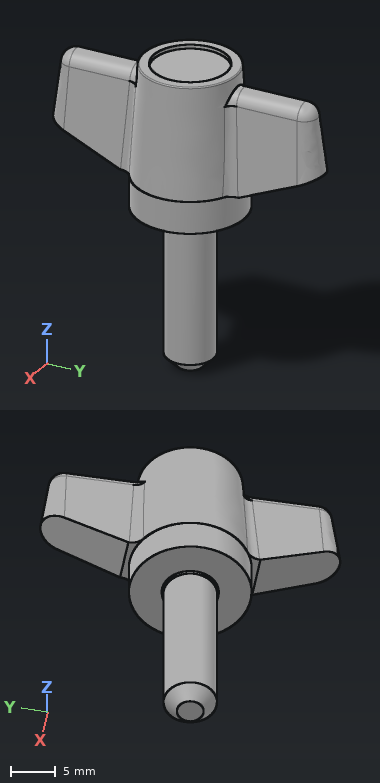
import cadquery as cq
import math


collar_diameter = 13.75
collar_height = 4.0
hub_bottom_diameter = 13.7
hub_top_diameter = 11.8
hub_top_z = 17.9
hub_edge_radius = 0.15
recess_diameter = 9.19
recess_depth = 0.5

stud_diameter = 6.0
overall_height = 37.9
stud_tip_chamfer = 1.5
stud_root_flare = 0.2

wing_draft = math.radians(5)
crest_radius = 1.74
crest_top_z = 16.45
wing_reach = 17.0
wing_tip_low_z = 8.0
underside_start_y = 7.5
tip_center_lean = math.radians(2.5)
tip_center_top_y = 14.37
root_radius_top = 1.25
root_radius_bottom = 1.8

wing_base_z = collar_height
crest_axis_z = crest_top_z - crest_radius
shoulder_z = crest_axis_z + crest_radius * math.sin(wing_draft)
shoulder_half_width = crest_radius * math.cos(wing_draft)
crest_height = crest_top_z - shoulder_z
wing_side_height = shoulder_z - wing_base_z
base_half_width = shoulder_half_width + wing_side_height * math.tan(wing_draft)
tip_center_base_y = tip_center_top_y + wing_side_height * math.tan(tip_center_lean)


def hub_radius_at(z):
    """Radius of the tapered hub at height z."""
    fraction = (z - collar_height) / (hub_top_z - collar_height)
    return (hub_bottom_diameter + fraction * (hub_top_diameter - hub_bottom_diameter)) / 2


def root_arc_point(z, half_width, root_radius, fraction):
    """Point (x, y) on the root fillet: fraction 0 touches the wing side, fraction 1 touches the hub."""
    center_x = half_width + root_radius
    center_y = math.sqrt((hub_radius_at(z) + root_radius) ** 2 - center_x**2)
    angle = fraction * math.atan2(center_y, center_x)
    return (center_x - root_radius * math.cos(angle), center_y - root_radius * math.sin(angle))


def mirrored(point):
    """The same plan point on the other side of the wing's middle plane."""
    return (-point[0], point[1])


def wing_plan(z, half_width, tip_center_y, root_radius):
    """Plan outline of a wing at height z: round tip, parallel sides and concave roots on the hub."""
    side = root_arc_point(z, half_width, root_radius, 0)
    middle = root_arc_point(z, half_width, root_radius, 0.5)
    contact = root_arc_point(z, half_width, root_radius, 1)
    outline = (
        cq.Workplane("XY", origin=(0, 0, z))
        .moveTo(contact[0], 0)
        .lineTo(*contact)
        .threePointArc(middle, side)
        .lineTo(half_width, tip_center_y)
        .threePointArc((0, tip_center_y + half_width), (-half_width, tip_center_y))
        .lineTo(*mirrored(side))
        .threePointArc(mirrored(middle), mirrored(contact))
        .lineTo(-contact[0], 0)
        .close()
    )
    return outline.val()


def crest_section(y, half_width):
    """Arched section across the crest, resting on the shoulder height."""
    outline = (
        cq.Workplane("XZ", origin=(0, y, shoulder_z))
        .moveTo(-half_width, 0)
        .threePointArc((0, crest_height), (half_width, 0))
        .close()
    )
    return outline.val()


def make_wing_sides():
    """Drafted wing below the crest, with its sloping underside."""
    base = wing_plan(wing_base_z, base_half_width, tip_center_base_y, root_radius_bottom)
    shoulder = wing_plan(shoulder_z, shoulder_half_width, tip_center_top_y, root_radius_top)
    sides = cq.Workplane(cq.Solid.makeLoft([base, shoulder], True))
    slope = (wing_tip_low_z - wing_base_z) / (wing_reach - underside_start_y)
    cut_end_y = wing_reach + base_half_width
    underside_cut = (
        cq.Workplane("YZ")
        .moveTo(underside_start_y, wing_base_z)
        .lineTo(cut_end_y, wing_base_z + slope * (cut_end_y - underside_start_y))
        .lineTo(cut_end_y, wing_base_z)
        .close()
        .extrude(base_half_width * 2, both=True)
    )
    return sides.cut(underside_cut)


def make_crest():
    """Rounded crest: straight arch, domed tip and a root that spreads onto the hub."""
    root_steps = 4
    root_points = [
        root_arc_point(shoulder_z, shoulder_half_width, root_radius_top, step / root_steps)
        for step in range(root_steps + 1)
    ]
    root_y = root_points[0][1]
    root = cq.Workplane(cq.Solid.makeLoft([crest_section(y, x) for x, y in root_points]))
    arch = cq.Workplane(
        cq.Solid.extrudeLinear(
            crest_section(root_y, shoulder_half_width), [], cq.Vector(0, tip_center_top_y - root_y, 0)
        )
    )
    dome_mid_x = crest_radius * math.sin(math.pi / 4)
    dome_mid_z = crest_axis_z + crest_radius * math.cos(math.pi / 4)
    dome = (
        cq.Workplane("XZ", origin=(0, tip_center_top_y, 0))
        .moveTo(0, shoulder_z)
        .lineTo(shoulder_half_width, shoulder_z)
        .threePointArc((dome_mid_x, dome_mid_z), (0, crest_top_z))
        .close()
        .revolve(360, (0, 0), (0, 1))
    )
    return arch.union(dome).union(root)


def make_hub():
    """Collar with the tapered hub on top."""
    collar = cq.Workplane("XY").circle(collar_diameter / 2).extrude(collar_height)
    cone = cq.Workplane(
        cq.Solid.makeCone(
            hub_bottom_diameter / 2,
            hub_top_diameter / 2,
            hub_top_z - collar_height,
            cq.Vector(0, 0, collar_height),
        )
    )
    cone = cone.faces(">Z").edges().fillet(hub_edge_radius)
    return collar.union(cone)


def make_stud():
    """Stud with a chamfered tip and a small flare under the collar."""
    radius = stud_diameter / 2
    tip_z = hub_top_z - overall_height
    return (
        cq.Workplane("XZ")
        .moveTo(0, collar_height / 2)
        .lineTo(radius + stud_root_flare, collar_height / 2)
        .lineTo(radius + stud_root_flare, 0)
        .lineTo(radius, -stud_root_flare)
        .lineTo(radius, tip_z + stud_tip_chamfer)
        .lineTo(radius - stud_tip_chamfer, tip_z)
        .lineTo(0, tip_z)
        .close()
        .revolve(360, (0, 0), (0, 1))
    )


def make_recess():
    """Shallow round recess in the top of the hub."""
    recess = cq.Workplane("XY", origin=(0, 0, hub_top_z - recess_depth))
    return recess.circle(recess_diameter / 2).extrude(recess_depth)


wing = make_wing_sides().union(make_crest())
opposite_wing = wing.rotate((0, 0, 0), (0, 0, 1), 180)
result = make_hub().union(make_stud()).union(wing).union(opposite_wing).cut(make_recess())